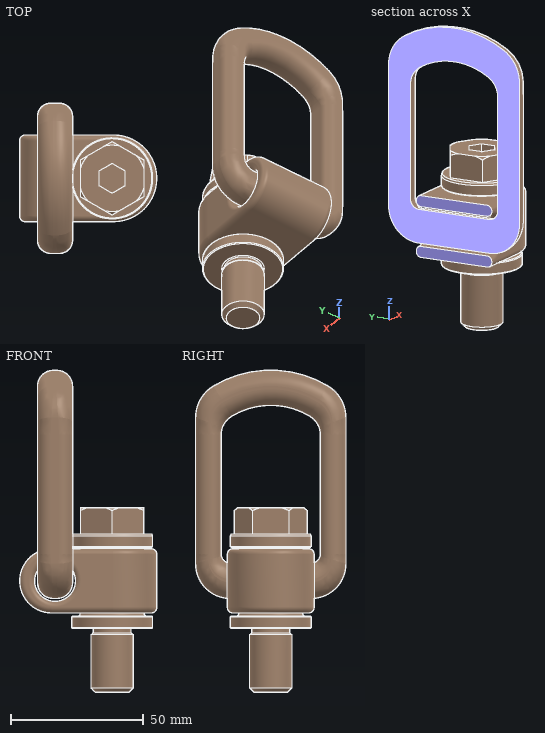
import cadquery as cq
import math


shank_radius = 8.0
shank_length = 22.0
tip_chamfer = 1.7
relief_radius = 7.2
relief_cone_height = 0.6
flange_radius = 15.4
flange_bottom = 54.9
flange_thickness = 5.1
flange_top_chamfer = (0.9, 0.4)
flange_bottom_chamfer = 0.4
hex_across_flats = 24.0
hex_top = 69.9
crown_radius = 12.6
crown_angle = 40.0
socket_across_flats = 9.8
socket_depth = 4.9

disc_radius = flange_radius
disc_bottom = 24.2
disc_thickness = 4.8
disc_chamfer = 0.4
sleeve_radius = 12.2
sleeve_root_fillet = 0.9

housing_bottom = 30.0
housing_height = 24.4
housing_width = 33.0
housing_left = -35.0
housing_right = 17.0
housing_fillet = 2.2
eye_radius = 7.7
eye_mouth_fillet = 2.2

ring_x = -21.6
ring_top = 122.0
ring_width = 57.0
bar_width = 13.4
leg_thickness = 9.8
bow_thickness = 13.4
bow_outer_radius = 42.1
bow_half_angle = 31.0
bow_corner_rounding = 6.1
leg_outer_rounding = 5.1
leg_inner_rounding = 4.3
base_inner_radius = 3.4
sections_per_loft = 5

flange_top = flange_bottom + flange_thickness
disc_top = disc_bottom + disc_thickness
housing_top = housing_bottom + housing_height
eye_z = housing_bottom + housing_height / 2
ring_bottom = eye_z - bow_thickness / 2
base_outer_radius = base_inner_radius + leg_thickness
ring_half_width = ring_width / 2
leg_inner_y = ring_half_width - leg_thickness
bow_inner_radius = bow_outer_radius - bow_thickness
bow_center_z = ring_top - bow_outer_radius


def polar(center, radius, degrees):
    """Point (y, z) at a distance and angle from a center, the angle measured from +Y."""
    angle = math.radians(degrees)
    return center[0] + radius * math.cos(angle), center[1] + radius * math.sin(angle)


def make_bolt():
    """Flanged hexagon bolt with a plain body inside the bush and a relief above the shank."""
    chamfer_height, chamfer_width = flange_top_chamfer
    profile = [
        (0, 0),
        (shank_radius - tip_chamfer, 0),
        (shank_radius, tip_chamfer),
        (shank_radius, shank_length),
        (relief_radius + relief_cone_height, shank_length),
        (relief_radius, shank_length + relief_cone_height),
        (relief_radius, disc_bottom),
        (shank_radius, disc_bottom),
        (shank_radius, flange_bottom),
        (flange_radius - flange_bottom_chamfer, flange_bottom),
        (flange_radius, flange_bottom + flange_bottom_chamfer),
        (flange_radius, flange_top - chamfer_height),
        (flange_radius - chamfer_width, flange_top),
        (0, flange_top),
    ]
    turned = cq.Workplane("XZ").polyline(profile).close().revolve(360, (0, 0), (0, 1))
    return turned.union(make_bolt_head())


def make_bolt_head():
    """Hexagon with two flats facing along X, a conical crown and a hexagon socket."""
    corner_factor = 2 / math.sqrt(3)
    head = (
        cq.Workplane("XY", origin=(0, 0, flange_top))
        .transformed(rotate=(0, 0, 90))
        .polygon(6, hex_across_flats * corner_factor)
        .extrude(hex_top - flange_top)
    )
    slope = math.tan(math.radians(crown_angle))
    cone_height = hex_top - flange_top
    crown = (
        cq.Workplane("XZ")
        .polyline([
            (0, flange_top),
            (crown_radius + cone_height / slope, flange_top),
            (crown_radius, hex_top),
            (0, hex_top),
        ])
        .close()
        .revolve(360, (0, 0), (0, 1))
    )
    socket = (
        cq.Workplane("XY", origin=(0, 0, hex_top - socket_depth))
        .transformed(rotate=(0, 0, 90))
        .polygon(6, socket_across_flats * corner_factor)
        .extrude(socket_depth)
    )
    return head.intersect(crown).cut(socket)


def make_bush():
    """Disc under the housing, with a sleeve that runs up to the bolt flange."""
    arc_offset = sleeve_root_fillet * (1 - math.sqrt(0.5))
    return (
        cq.Workplane("XZ")
        .moveTo(shank_radius, disc_bottom)
        .lineTo(disc_radius - disc_chamfer, disc_bottom)
        .lineTo(disc_radius, disc_bottom + disc_chamfer)
        .lineTo(disc_radius, disc_top - disc_chamfer)
        .lineTo(disc_radius - disc_chamfer, disc_top)
        .lineTo(sleeve_radius + sleeve_root_fillet, disc_top)
        .threePointArc(
            (sleeve_radius + arc_offset, disc_top + arc_offset),
            (sleeve_radius, disc_top + sleeve_root_fillet),
        )
        .lineTo(sleeve_radius, flange_bottom)
        .lineTo(shank_radius, flange_bottom)
        .close()
        .revolve(360, (0, 0), (0, 1))
    )


def make_housing():
    """Block with a rounded end around the bolt and a barrel around the ring."""
    half_width = housing_width / 2
    barrel_radius = housing_height / 2
    barrel_x = housing_left + barrel_radius
    end_x = housing_right - half_width
    side = (
        cq.Workplane("XZ", origin=(0, half_width, 0))
        .moveTo(barrel_x, housing_bottom)
        .lineTo(housing_right, housing_bottom)
        .lineTo(housing_right, housing_top)
        .lineTo(barrel_x, housing_top)
        .threePointArc((housing_left, eye_z), (barrel_x, housing_bottom))
        .close()
        .extrude(housing_width)
    )
    plan = (
        cq.Workplane("XY", origin=(0, 0, housing_bottom))
        .moveTo(housing_left, -half_width)
        .lineTo(end_x, -half_width)
        .threePointArc((housing_right, 0), (end_x, half_width))
        .lineTo(housing_left, half_width)
        .close()
        .extrude(housing_height)
    )
    body = side.intersect(plan).edges("not (|Y or |Z)").fillet(housing_fillet)
    eye = (
        cq.Workplane("XZ", origin=(ring_x, half_width, eye_z))
        .circle(eye_radius)
        .extrude(housing_width)
    )
    sleeve_hole = (
        cq.Workplane("XY", origin=(0, 0, housing_bottom))
        .circle(sleeve_radius)
        .extrude(housing_height)
    )
    mouths = cq.selectors.BoxSelector(
        (ring_x - eye_radius, -housing_width, eye_z - eye_radius),
        (ring_x + eye_radius, housing_width, eye_z + eye_radius),
    )
    body = body.cut(eye).faces("<Y or >Y").edges(mouths).fillet(eye_mouth_fillet)
    return body.cut(sleeve_hole)


def bar_section(inner_point, degrees, thickness):
    """Wire of the rounded bar section, reaching outward from a point (y, z) of the inner outline."""
    bow_share = (thickness - leg_thickness) / (bow_thickness - leg_thickness)
    inner_rounding = leg_inner_rounding + bow_share * (bow_corner_rounding - leg_inner_rounding)
    outer_rounding = leg_outer_rounding + bow_share * (bow_corner_rounding - leg_outer_rounding)
    outward = polar((0, 0), 1, degrees)
    plane = cq.Plane(
        origin=(ring_x, *inner_point),
        xDir=(0, *outward),
        normal=(0, outward[1], -outward[0]),
    )
    half_width = bar_width / 2
    diagonal = 1 - math.sqrt(0.5)
    inner_offset = inner_rounding * diagonal
    outer_offset = outer_rounding * diagonal
    return (
        cq.Workplane(plane)
        .moveTo(0, inner_rounding - half_width)
        .threePointArc((inner_offset, inner_offset - half_width), (inner_rounding, -half_width))
        .lineTo(thickness - outer_rounding, -half_width)
        .threePointArc(
            (thickness - outer_offset, outer_offset - half_width),
            (thickness, outer_rounding - half_width),
        )
        .lineTo(thickness, half_width - outer_rounding)
        .threePointArc(
            (thickness - outer_offset, half_width - outer_offset),
            (thickness - outer_rounding, half_width),
        )
        .lineTo(inner_rounding, half_width)
        .threePointArc((inner_offset, half_width - inner_offset), (0, half_width - inner_rounding))
        .close()
    )


def corner_radius(half_width, bow_radius):
    """Radius of the arc tangent to a leg side and to the bow at its end angle."""
    sine = math.sin(math.radians(bow_half_angle))
    return (half_width - bow_radius * sine) / (1 - sine)


def make_corner(pivot, inner_radius, outer_center, outer_radius, end_degrees):
    """Corner of the ring, lofted through bar sections in planes turned about the inner arc's center.

    The outer arc begins later than the inner one, so the outer side is straight as far as arc_start.
    """
    offset_y = pivot[0] - outer_center[0]
    offset_z = pivot[1] - outer_center[1]
    leg_reach = ring_half_width - pivot[0]
    arc_start = math.degrees(math.atan2(-offset_z, leg_reach))

    def leg_section(degrees):
        reach = leg_reach / math.cos(math.radians(degrees))
        return bar_section(polar(pivot, inner_radius, degrees), degrees, reach - inner_radius)

    def arc_section(degrees):
        cosine, sine = polar((0, 0), 1, degrees)
        along = offset_y * cosine + offset_z * sine
        across = offset_y * sine - offset_z * cosine
        reach = math.sqrt(outer_radius**2 - across**2) - along
        return bar_section(polar(pivot, inner_radius, degrees), degrees, reach - inner_radius)

    straight_part = loft_between(leg_section, 0, arc_start)
    return straight_part.union(loft_between(arc_section, arc_start, end_degrees))


def loft_between(section_at, start_degrees, end_degrees):
    """Loft through evenly turned sections, section_at(degrees) giving each one."""
    step = (end_degrees - start_degrees) / (sections_per_loft - 1)
    wires = [
        section_at(start_degrees + index * step).wire().val() for index in range(sections_per_loft)
    ]
    return cq.Workplane(cq.Solid.makeLoft(wires))


def make_ring():
    """Closed ring: bow, two thinner legs and a straight base through the eye."""
    bow_end = 90 - bow_half_angle
    bow_center = (0, bow_center_z)
    upper_inner_radius = corner_radius(leg_inner_y, bow_inner_radius)
    upper_outer_radius = corner_radius(ring_half_width, bow_outer_radius)
    upper_pivot = polar(bow_center, bow_inner_radius - upper_inner_radius, bow_end)
    upper_outer_center = polar(bow_center, bow_outer_radius - upper_outer_radius, bow_end)
    lower_pivot = (leg_inner_y - base_inner_radius, ring_bottom + bow_thickness + base_inner_radius)
    lower_outer_center = (lower_pivot[0], ring_bottom + base_outer_radius)

    bow = bar_section((0, ring_top - bow_thickness), 90, bow_thickness).revolve(
        bow_half_angle, (-bow_inner_radius, 1.2), (-bow_inner_radius, 0)
    )
    upper_corner = make_corner(
        upper_pivot, upper_inner_radius, upper_outer_center, upper_outer_radius, bow_end
    )
    leg = bar_section((leg_inner_y, upper_pivot[1]), 0, leg_thickness).extrude(
        upper_pivot[1] - lower_pivot[1]
    )
    lower_corner = make_corner(
        lower_pivot, base_inner_radius, lower_outer_center, base_outer_radius, -90
    )
    base = bar_section((lower_pivot[0], ring_bottom + bow_thickness), -90, bow_thickness).extrude(
        lower_pivot[0]
    )
    half = bow.union(upper_corner).union(leg).union(lower_corner).union(base)
    return half.union(half.mirror("XZ"))


bolt = make_bolt().solids()
bush = make_bush().solids()
housing = make_housing().solids()
ring = make_ring().solids()

result = cq.Compound.makeCompound([bolt.val(), bush.val(), housing.val(), ring.val()])